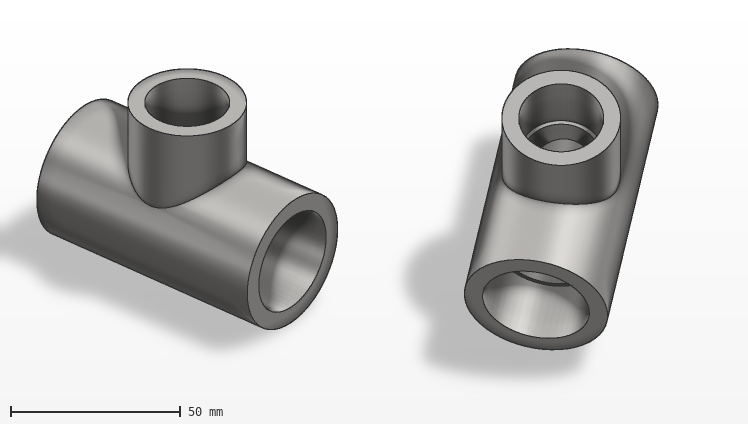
import cadquery as cq

run_length = 79.0
run_diameter = 43.0
run_socket_diameter = 32.0
run_bore_diameter = 29.67
run_socket_depth = 19.5

branch_height = 40.0
branch_diameter = 35.0
branch_socket_diameter = 25.0
branch_bore_diameter = 22.33
branch_socket_depth = 18.0


def run_cylinder(diameter, start_x, length):
    """Cylinder on the run axis, from start_x toward +X."""
    return cq.Workplane("YZ", origin=(start_x, 0, 0)).circle(diameter / 2).extrude(length)


def branch_cylinder(diameter, start_z, end_z):
    """Cylinder on the branch axis between two heights."""
    return cq.Workplane("XY", origin=(0, 0, start_z)).circle(diameter / 2).extrude(end_z - start_z)


run_end = run_length / 2

body = run_cylinder(run_diameter, -run_end, run_length)
body = body.union(branch_cylinder(branch_diameter, 0, branch_height))

body = body.cut(run_cylinder(run_bore_diameter, -run_end, run_length))
body = body.cut(branch_cylinder(branch_bore_diameter, 0, branch_height))

for socket_start in (-run_end, run_end - run_socket_depth):
    body = body.cut(run_cylinder(run_socket_diameter, socket_start, run_socket_depth))
body = body.cut(
    branch_cylinder(branch_socket_diameter, branch_height - branch_socket_depth, branch_height)
)

result = body